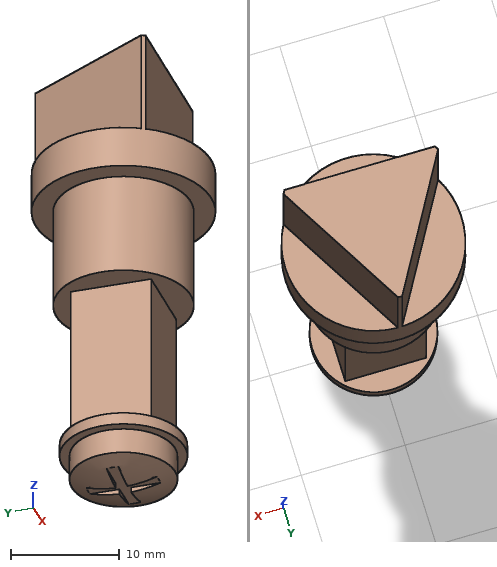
import cadquery as cq
import math

total_height = 43.75
key_height = 10.0
collar_height = 4.05
barrel_height = 10.02
washer_height = 1.2
screw_rim_height = 2.5
dome_height = 1.15

collar_diameter = 17.0
key_flat_distance = 4.4
barrel_diameter = 13.0
square_width = 7.8
washer_diameter = 11.8
screw_diameter = 10.0
slot_width = 1.15
slot_depth = 0.53

screw_radius = screw_diameter / 2
dome_radius = (screw_radius**2 + dome_height**2) / (2 * dome_height)
slot_corner_radius = slot_width / math.sqrt(2)
dome_tip_z = math.sqrt(dome_radius**2 - slot_corner_radius**2) - dome_radius

dome_edge_z = dome_tip_z + dome_height
washer_z = dome_edge_z + screw_rim_height
square_z = washer_z + washer_height
key_z = total_height - key_height
collar_z = key_z - collar_height
barrel_z = collar_z - barrel_height


def cylinder(diameter, bottom_z, height):
    return cq.Workplane("XY").workplane(offset=bottom_z).circle(diameter / 2).extrude(height)


def make_key():
    """Triangular key with one corner toward +Y, its corners trimmed to the collar's outline."""
    corner_distance = key_flat_distance / math.cos(math.pi / 3)
    half_side = key_flat_distance * math.tan(math.pi / 3)
    triangle = (
        cq.Workplane("XY")
        .workplane(offset=key_z)
        .moveTo(-half_side, -key_flat_distance)
        .lineTo(half_side, -key_flat_distance)
        .lineTo(0, corner_distance)
        .close()
        .extrude(key_height)
    )
    return triangle.intersect(cylinder(collar_diameter, key_z, key_height))


def make_spindle():
    """Lock spindle: square shaft, round barrel, collar and triangular key in one piece."""
    square_shaft = (
        cq.Workplane("XY")
        .workplane(offset=square_z)
        .rect(square_width, square_width)
        .extrude(barrel_z - square_z)
    )
    barrel = cylinder(barrel_diameter, barrel_z, barrel_height)
    collar = cylinder(collar_diameter, collar_z, collar_height)
    return square_shaft.union(barrel).union(collar).union(make_key())


def make_washer():
    """Flat disc against the end of the square shaft."""
    return cylinder(washer_diameter, washer_z, washer_height)


def make_screw():
    """Screw head with a domed underside and two crossed slots."""
    half_angle = math.asin(screw_radius / dome_radius) / 2
    arc_middle = (
        dome_radius * math.sin(half_angle),
        dome_tip_z + dome_radius * (1 - math.cos(half_angle)),
    )
    screw = (
        cq.Workplane("XZ")
        .moveTo(0, dome_tip_z)
        .threePointArc(arc_middle, (screw_radius, dome_edge_z))
        .lineTo(screw_radius, washer_z)
        .lineTo(0, washer_z)
        .close()
        .revolve(360, (0, 0, 0), (0, 1, 0))
    )
    slot = (
        cq.Workplane("XY")
        .workplane(offset=dome_tip_z)
        .rect(screw_diameter, slot_width)
        .extrude(slot_depth)
    )
    for angle in (0, 90):
        screw = screw.cut(slot.rotate((0, 0, 0), (0, 0, 1), angle))
    return screw


spindle = make_spindle().solids()
washer = make_washer().solids()
screw = make_screw().solids()

result = cq.Compound.makeCompound([spindle.val(), washer.val(), screw.val()])